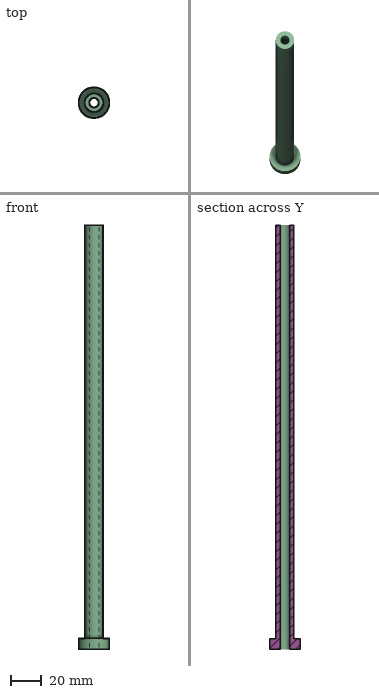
import cadquery as cq

total_length = 275.0
head_diameter = 20.0
head_height = 7.0
shaft_diameter = 12.0
bore_diameter = 6.0
root_fillet_radius = 0.5

head_radius = head_diameter / 2
shaft_radius = shaft_diameter / 2
bore_radius = bore_diameter / 2


def sleeve_half_section():
    """Half section in the XZ plane, with a concave fillet where shaft meets head."""
    fillet_start = (shaft_radius + root_fillet_radius, head_height)
    fillet_end = (shaft_radius, head_height + root_fillet_radius)
    return (
        cq.Workplane("XZ")
        .moveTo(bore_radius, 0)
        .lineTo(head_radius, 0)
        .lineTo(head_radius, head_height)
        .lineTo(*fillet_start)
        .radiusArc(fillet_end, root_fillet_radius)
        .lineTo(shaft_radius, total_length)
        .lineTo(bore_radius, total_length)
        .close()
    )


axis_start = (0, 0)
axis_end = (0, 1)
result = sleeve_half_section().revolve(360, axis_start, axis_end)